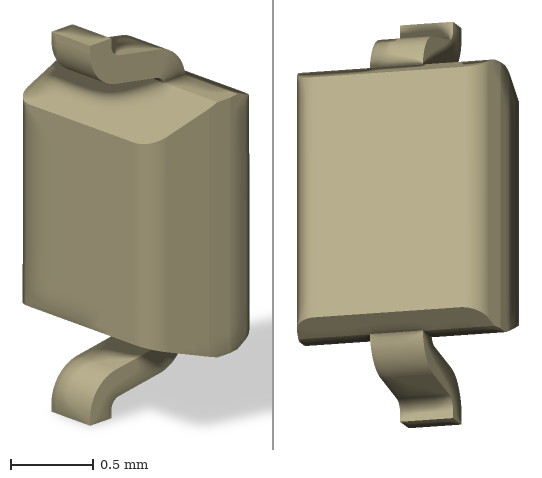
import cadquery as cq
import math

overall_height = 2.48
overall_depth = 1.01

body_width = 1.28
body_height = 1.667
body_front = 0.097
body_back = overall_depth
front_face_height = 1.32
back_face_height = 1.503
end_flat_front = 0.625
end_flat_back = 0.808
side_flat_front = 0.553
side_flat_back = 0.735
front_draft = math.radians(6.5)
back_draft = math.radians(11)
corner_radius = 0.15

lead_width = 0.337
lead_thickness = 0.18
inner_bend_radius = 0.077
outer_bend_radius = inner_bend_radius + lead_thickness
foot_length = 0.052
slope_length = 0.355
lead_slope = math.radians(9)
lead_embed = 0.05


def make_body():
    """Body with drafted sides, rounded long edges and bevelled ends."""
    half_width = body_width / 2
    half_front = half_width - (side_flat_front - body_front) * math.tan(front_draft)
    half_back = half_width - (body_back - side_flat_back) * math.tan(back_draft)
    right_side = [
        (half_front, body_front),
        (half_width, side_flat_front),
        (half_width, side_flat_back),
        (half_back, body_back),
    ]
    left_side = [(-x, y) for x, y in reversed(right_side)]
    prism = (
        cq.Workplane("XY")
        .polyline(right_side + left_side)
        .close()
        .extrude(body_height / 2, both=True)
        .edges("|Z and (<Y or >Y)")
        .fillet(corner_radius)
    )

    upper_end = [
        (body_front, front_face_height / 2),
        (end_flat_front, body_height / 2),
        (end_flat_back, body_height / 2),
        (body_back, back_face_height / 2),
    ]
    lower_end = [(y, -z) for y, z in reversed(upper_end)]
    end_bevels = (
        cq.Workplane("YZ")
        .polyline(upper_end + lower_end)
        .close()
        .extrude(body_width, both=True)
    )
    return prism.intersect(end_bevels)


def point_on_bend(center, radius, angle):
    """Point in the YZ plane at an angle measured from +Y towards +Z."""
    return (center[0] + radius * math.cos(angle), center[1] + radius * math.sin(angle))


def make_upper_lead():
    """S-shaped strip: vertical foot, gentle slope, then a root entering the body."""
    tip_z = overall_height / 2
    foot_center = (outer_bend_radius, tip_z - foot_length)
    center_gap = inner_bend_radius + outer_bend_radius
    root_center = (
        foot_center[0] + slope_length * math.cos(lead_slope) - center_gap * math.sin(lead_slope),
        foot_center[1] - slope_length * math.sin(lead_slope) - center_gap * math.cos(lead_slope),
    )

    root_end = math.pi / 2 - lead_slope
    foot_end = root_end + math.pi
    root_middle = root_end / 2
    foot_middle = (math.pi + foot_end) / 2

    root_z = root_center[1] - lead_embed
    profile = (
        cq.Workplane("YZ")
        .moveTo(0, tip_z)
        .lineTo(0, foot_center[1])
        .threePointArc(
            point_on_bend(foot_center, outer_bend_radius, foot_middle),
            point_on_bend(foot_center, outer_bend_radius, foot_end),
        )
        .lineTo(*point_on_bend(root_center, inner_bend_radius, root_end))
        .threePointArc(
            point_on_bend(root_center, inner_bend_radius, root_middle),
            point_on_bend(root_center, inner_bend_radius, 0),
        )
        .lineTo(root_center[0] + inner_bend_radius, root_z)
        .lineTo(root_center[0] + outer_bend_radius, root_z)
        .lineTo(root_center[0] + outer_bend_radius, root_center[1])
        .threePointArc(
            point_on_bend(root_center, outer_bend_radius, root_middle),
            point_on_bend(root_center, outer_bend_radius, root_end),
        )
        .lineTo(*point_on_bend(foot_center, inner_bend_radius, foot_end))
        .threePointArc(
            point_on_bend(foot_center, inner_bend_radius, foot_middle),
            point_on_bend(foot_center, inner_bend_radius, math.pi),
        )
        .lineTo(lead_thickness, tip_z)
        .close()
    )
    return profile.extrude(lead_width / 2, both=True)


upper_lead = make_upper_lead()
lower_lead = upper_lead.mirror("XY")
result = make_body().union(upper_lead).union(lower_lead)